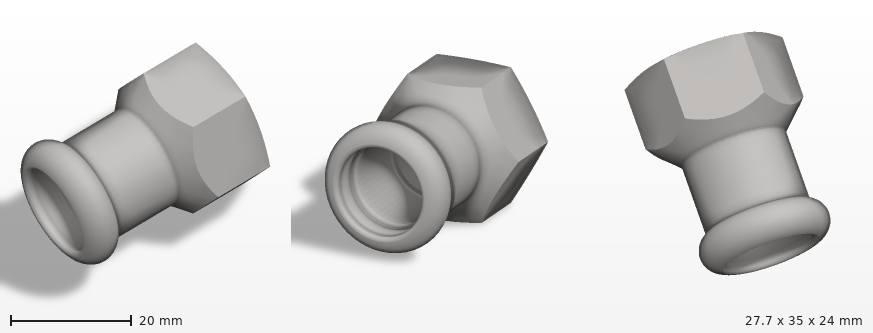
import cadquery as cq
import math

length = 35.0
across_flats = 24.0
across_corners = across_flats / math.cos(math.radians(30))

bead_diameter = 22.75
bead_width = 6.48
neck_diameter = 18.3
neck_end = 18.9
neck_flare_length = 0.25
cone_start_diameter = 18.55
end_face_diameter = 23.8
end_chamfer_angle = 16.0
rim_clearance = 0.35

mouth_diameter = 17.15
lip_diameter = 15.7
lip_depth = 0.7
flare_diameter = 16.1
flare_end = 1.82
seal_diameter = 15.55
seal_end_diameter = 15.9
seal_end = 4.8
guide_end = 5.75
socket_start = 6.5
socket_diameter = 14.95
socket_depth = 18.9
stop_taper = 0.35
stop_diameter = 14.42
bore_diameter = 13.0


def revolve_about_y(profile):
    return profile.close().revolve(360, (0, 0, 0), (0, 1, 0))


def outer_envelope():
    """Bead, neck, 45 degree shoulder and chamfered end, as a solid of revolution."""
    neck_radius = neck_diameter / 2
    cone_start = neck_end + neck_flare_length
    cone_start_radius = cone_start_diameter / 2
    rim_radius = across_corners / 2 + rim_clearance
    cone_end = cone_start + rim_radius - cone_start_radius
    end_radius = end_face_diameter / 2
    chamfer_depth = (rim_radius - end_radius) * math.tan(math.radians(end_chamfer_angle))
    profile = (
        cq.Workplane("XY")
        .lineTo(mouth_diameter / 2, 0)
        .threePointArc((bead_diameter / 2, bead_width / 2), (neck_radius, bead_width))
        .lineTo(neck_radius, neck_end)
        .lineTo(cone_start_radius, cone_start)
        .lineTo(rim_radius, cone_end)
        .lineTo(rim_radius, length - chamfer_depth)
        .lineTo(end_radius, length)
        .lineTo(0, length)
    )
    return revolve_about_y(profile)


def wrench_envelope():
    """Round front part joined to the hexagonal rear part, flats facing up and down."""
    front = cq.Workplane("XZ").circle(across_corners / 2).extrude(-neck_end)
    hexagon = (
        cq.Workplane("XZ", origin=(0, neck_end, 0))
        .polygon(6, across_corners)
        .extrude(neck_end - length)
    )
    return front.union(hexagon)


def passage():
    """Rounded mouth, flare, inward-bulging seal, pipe socket and through bore."""
    mouth_radius = mouth_diameter / 2
    lip_radius = lip_diameter / 2
    rounding = math.sqrt(0.5)
    lip_middle = (
        mouth_radius - (mouth_radius - lip_radius) * rounding,
        lip_depth * (1 - rounding),
    )
    seal_middle = (seal_diameter / 2, (flare_end + seal_end) / 2)
    profile = (
        cq.Workplane("XY")
        .lineTo(mouth_radius, 0)
        .threePointArc(lip_middle, (lip_radius, lip_depth))
        .lineTo(flare_diameter / 2, flare_end)
        .threePointArc(seal_middle, (seal_end_diameter / 2, seal_end))
        .lineTo(lip_radius, guide_end)
        .lineTo(socket_diameter / 2, socket_start)
        .lineTo(socket_diameter / 2, socket_depth - stop_taper)
        .lineTo(stop_diameter / 2, socket_depth)
        .lineTo(bore_diameter / 2, socket_depth)
        .lineTo(bore_diameter / 2, length)
        .lineTo(0, length)
    )
    return revolve_about_y(profile)


result = outer_envelope().intersect(wrench_envelope()).cut(passage())